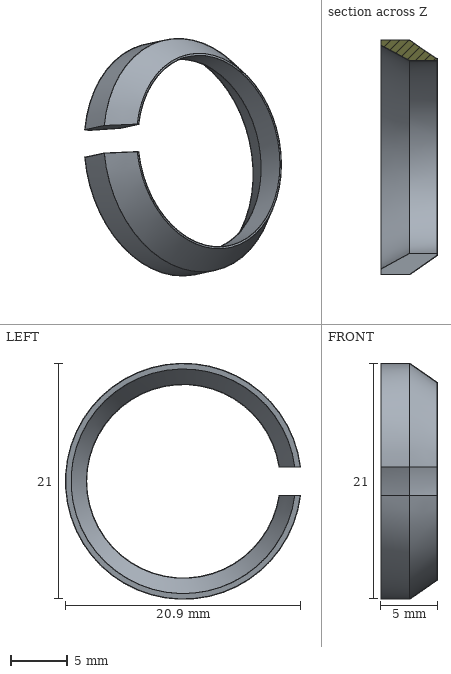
import cadquery as cq

outer_radius = 10.48
ring_width = 5.0
band_width = 2.55
rim_thickness = 0.5
nose_outer_radius = 8.78
bore_radius = 8.59
gap_width = 2.5

wall_section = [
    (0, rim_thickness - outer_radius),
    (0, -outer_radius),
    (band_width, -outer_radius),
    (ring_width, -nose_outer_radius),
    (ring_width, -bore_radius),
    (band_width, -bore_radius),
]
ring = cq.Workplane("XY").polyline(wall_section).close().revolve(360, (0, 0, 0), (1, 0, 0))

gap_cutter = cq.Workplane("XY").box(
    ring_width, outer_radius, gap_width, centered=(False, False, True)
).translate((0, -outer_radius, 0))

result = ring.cut(gap_cutter)